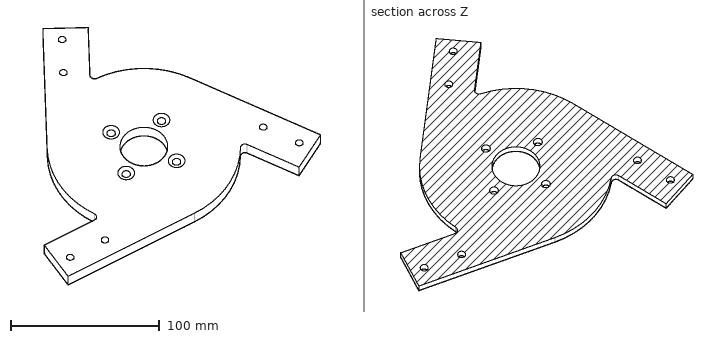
import cadquery as cq
import math

thickness = 10.0
arm_count = 3
disc_radius = 65.0
arm_reach = 100.0
arm_width = 30.55
neck_fillet_radius = 3.0

center_bore_diameter = 32.0

arm_hole_diameter = 5.0
arm_hole_edge_inset = 12.7
arm_hole_end_inset = 9.5
arm_hole_spacing = 27.5

screw_count = 4
screw_circle_radius = 25.0
screw_hole_diameter = 5.6
countersink_diameter = 11.2
countersink_angle = 135.0

arm_inner_offset = disc_radius - arm_width
arm_angle_step = 360.0 / arm_count


def rotated_about_center(body, angle):
    """Turn a body about the vertical axis of the disc."""
    return body.rotate((0, 0, 0), (0, 0, 1), angle)


def make_arm():
    """Arm along +X, starting at the point where its outer edge touches the disc."""
    return (
        cq.Workplane("XY")
        .moveTo(0, arm_inner_offset)
        .lineTo(arm_reach, arm_inner_offset)
        .lineTo(arm_reach, disc_radius)
        .lineTo(0, disc_radius)
        .close()
        .extrude(thickness)
    )


def make_plate():
    """Disc with tangent arms and filleted inner corners."""
    plate = cq.Workplane("XY").circle(disc_radius).extrude(thickness)
    for index in range(arm_count):
        plate = plate.union(rotated_about_center(make_arm(), index * arm_angle_step))

    neck_distance = math.sqrt(disc_radius**2 - arm_inner_offset**2)
    neck_angle = math.degrees(math.atan2(arm_inner_offset, neck_distance))
    for index in range(arm_count):
        angle = math.radians(neck_angle + index * arm_angle_step)
        neck_point = (disc_radius * math.cos(angle), disc_radius * math.sin(angle), thickness / 2)
        neck_edge = cq.selectors.NearestToPointSelector(neck_point)
        plate = plate.edges("|Z").edges(neck_edge).fillet(neck_fillet_radius)
    return plate


def cut_center_bore(plate):
    """Through bore at the disc centre."""
    return plate.faces(">Z").workplane(origin=(0, 0, 0)).hole(center_bore_diameter)


def cut_arm_holes(plate):
    """Two through holes in a row along each arm."""
    outer_hole_x = arm_reach - arm_hole_end_inset
    inner_hole_x = outer_hole_x - arm_hole_spacing
    hole_y = disc_radius - arm_hole_edge_inset
    holes = (
        cq.Workplane("XY")
        .pushPoints([(inner_hole_x, hole_y), (outer_hole_x, hole_y)])
        .circle(arm_hole_diameter / 2)
        .extrude(thickness)
    )
    for index in range(arm_count):
        plate = plate.cut(rotated_about_center(holes, index * arm_angle_step))
    return plate


def cut_screw_holes(plate):
    """Countersunk through holes on a circle around the centre bore."""
    return (
        plate.faces(">Z")
        .workplane(origin=(0, 0, 0))
        .polarArray(screw_circle_radius, 0, 360, screw_count)
        .cskHole(screw_hole_diameter, countersink_diameter, countersink_angle)
    )


result = cut_screw_holes(cut_arm_holes(cut_center_bore(make_plate())))